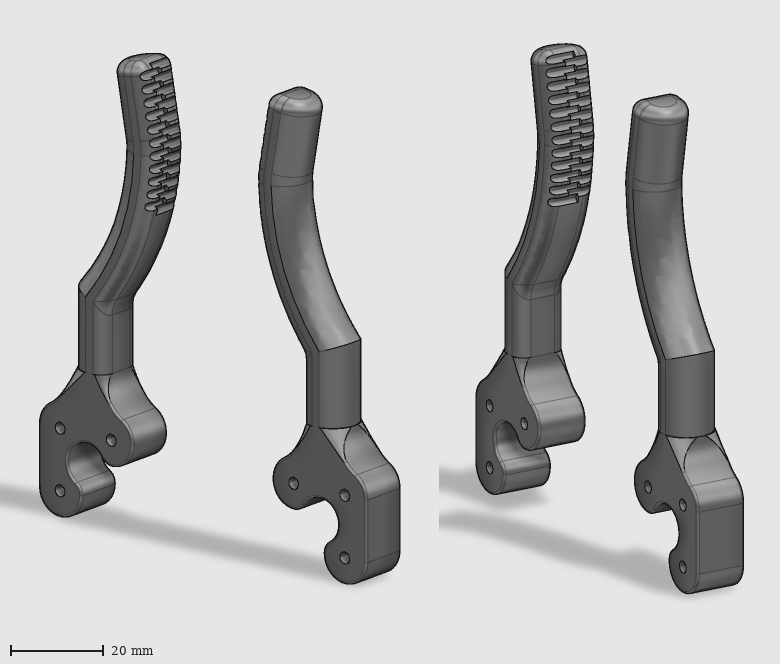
import cadquery as cq
import math

OVERALL_WIDTH = 90.7
OVERALL_HEIGHT = 106.4
THICKNESS = 12.0

HOLE_DIAMETER = 2.7
HOLE_PITCH = 14.2
LOBE_RADIUS = 6.0
CUTOUT_RADIUS = 5.1
CUSP_RADIUS = 3.2
PLATE_EDGE_RADIUS = 0.5
FLARE_RADIUS = 10.2
FADED_ROUND = 0.3
OVERCUT = 0.03
FADE_POWER = 3
BACK_LAND = 0.2
CLEARANCE = 1.1
FLARE_SECTIONS = 7

LEVER_WIDTH = 10.0
OUTER_ROUND = 5.0
INNER_ROUND = 3.0
TIP_ROUND = 2.9
BEND_HEIGHT = 49.5
BEND_ANGLE = 38.7
BEND_ROUND = 6.4
CURVE_RADIUS = 60.7
CREST_RADIUS = 19.2
CREST_LEAN = 1.2
TIP_LEAN = 10.0

GROOVE_RADIUS = 1.1
GROOVE_PITCH = 3.0
ROWS_BELOW_JOINT = 4
ROWS_ABOVE_JOINT = 6
FRONT_GROOVE_END = 0.9
REAR_GROOVE_END = -1.9

HALF_THICKNESS = THICKNESS / 2

hole_left = LOBE_RADIUS - OVERALL_WIDTH / 2
hole_right = hole_left + HOLE_PITCH
hole_low = LOBE_RADIUS
hole_high = hole_low + HOLE_PITCH
plate_middle = (hole_left + hole_right) / 2
cutout_height = (hole_low + hole_high) / 2

back_x = plate_middle - LEVER_WIDTH / 2
grip_x = plate_middle + LEVER_WIDTH / 2

flare_offset = back_x - FLARE_RADIUS - hole_left
neck_height = hole_high + math.sqrt((LOBE_RADIUS + FLARE_RADIUS) ** 2 - flare_offset ** 2)
flare_sweep = math.atan2(neck_height - hole_high, -flare_offset)

bend = math.radians(BEND_ANGLE)
lean = math.radians(TIP_LEAN)
crest_lean = math.radians(CREST_LEAN)
curve_length = CURVE_RADIUS * (bend - crest_lean)
crest_length = CREST_RADIUS * (lean + crest_lean)

curve_center_x = grip_x - CURVE_RADIUS * math.cos(bend)
curve_center_z = BEND_HEIGHT + CURVE_RADIUS * math.sin(bend)
crest_center_x = curve_center_x + (CURVE_RADIUS - CREST_RADIUS) * math.cos(crest_lean)
crest_center_z = curve_center_z - (CURVE_RADIUS - CREST_RADIUS) * math.sin(crest_lean)


def arc_point(center_x, center_z, radius, angle):
    """Point in the XZ plane at an angle from +X."""
    return center_x + radius * math.cos(angle), center_z + radius * math.sin(angle)


def grip_point(distance):
    """Point on the grip face at a distance along it from the joint of its curves, upward positive."""
    if distance <= 0:
        angle = distance / CURVE_RADIUS - crest_lean
        return arc_point(curve_center_x, curve_center_z, CURVE_RADIUS, angle)
    angle = min(distance / CREST_RADIUS - crest_lean, lean)
    x, z = arc_point(crest_center_x, crest_center_z, CREST_RADIUS, angle)
    straight = max(distance - crest_length, 0)
    return x - straight * math.sin(lean), z + straight * math.cos(lean)


def plate_outline():
    """Plate and flared neck, up to the neck height."""
    lobe_contact = math.pi - flare_sweep
    back_contact = arc_point(hole_left, hole_high, LOBE_RADIUS, lobe_contact)
    grip_contact = arc_point(hole_right, hole_high, LOBE_RADIUS, math.pi - lobe_contact)
    back_middle = arc_point(back_x - FLARE_RADIUS, neck_height, FLARE_RADIUS, -flare_sweep / 2)
    grip_middle = arc_point(grip_x + FLARE_RADIUS, neck_height, FLARE_RADIUS, math.pi + flare_sweep / 2)
    corner_middle = arc_point(hole_left, hole_high, LOBE_RADIUS, (lobe_contact + math.pi) / 2)
    diagonal = math.pi / 4
    low_lobe_end = arc_point(hole_left, hole_low, LOBE_RADIUS, diagonal)
    right_lobe_start = arc_point(hole_right, hole_high, LOBE_RADIUS, math.pi + diagonal)
    right_lobe_middle = arc_point(hole_right, hole_high, LOBE_RADIUS, -diagonal)
    return (
        cq.Workplane("XZ")
        .moveTo(back_x, neck_height)
        .threePointArc(back_middle, back_contact)
        .threePointArc(corner_middle, (hole_left - LOBE_RADIUS, hole_high))
        .lineTo(hole_left - LOBE_RADIUS, hole_low)
        .threePointArc((hole_left, hole_low - LOBE_RADIUS), low_lobe_end)
        .lineTo(*right_lobe_start)
        .threePointArc(right_lobe_middle, grip_contact)
        .threePointArc(grip_middle, (grip_x, neck_height))
        .close()
    )


def edge_relief(side_x, direction, full_width, full_depth, face_side):
    """Tool that rounds one flare edge, shrinking from the lever's rounding to the plate's."""
    center_x = side_x - direction * FLARE_RADIUS
    round_middle = 1 - math.sqrt(0.5)
    sections = []
    for step in range(FLARE_SECTIONS):
        t = step / (FLARE_SECTIONS - 1)
        angle = -flare_sweep * t
        fade = (1 - t) ** FADE_POWER
        width = FADED_ROUND + (full_width - FADED_ROUND) * fade
        depth = FADED_ROUND + (full_depth - FADED_ROUND) * fade
        inward = cq.Vector(direction * math.cos(angle), 0, math.sin(angle))
        outward_face = cq.Vector(0, face_side, 0)
        origin = cq.Vector(center_x, 0, neck_height) + inward * FLARE_RADIUS + outward_face * HALF_THICKNESS

        def place(inset, drop):
            return origin + inward * inset - outward_face * drop

        side_end = place(-OVERCUT, depth)
        face_end = place(width, -OVERCUT)
        corners = [
            face_end,
            place(width, -CLEARANCE),
            place(-CLEARANCE, -CLEARANCE),
            place(-CLEARANCE, depth),
            side_end,
        ]
        edges = [cq.Edge.makeLine(start, end) for start, end in zip(corners, corners[1:])]
        middle = place(width * round_middle, depth * round_middle)
        edges.append(cq.Edge.makeThreePointArc(side_end, middle, face_end))
        sections.append(cq.Wire.assembleEdges(edges))
    return cq.Workplane(cq.Solid.makeLoft(sections))


def make_plate():
    """Plate with its cutout, holes and rounded edges, and the flared neck above it."""
    plate = plate_outline().extrude(HALF_THICKNESS, both=True)
    cutout = cq.Workplane("XZ").center(plate_middle, cutout_height).circle(CUTOUT_RADIUS)
    plate = plate.cut(cutout.extrude(THICKNESS, both=True))

    cusps = cq.selectors.BoxSelector(
        (plate_middle - CUTOUT_RADIUS, -THICKNESS, cutout_height - CUTOUT_RADIUS),
        (plate_middle + CUTOUT_RADIUS, THICKNESS, cutout_height + CUTOUT_RADIUS),
    )
    plate = plate.edges("|Y").edges(cusps).fillet(CUSP_RADIUS)
    plate = plate.faces("<Y or >Y").edges("not(>Z)").fillet(PLATE_EDGE_RADIUS)

    back_depth = (THICKNESS - BACK_LAND) / 2
    for face_side in (-1, 1):
        plate = plate.cut(edge_relief(back_x, 1, OUTER_ROUND, back_depth, face_side))
        plate = plate.cut(edge_relief(grip_x, -1, INNER_ROUND, INNER_ROUND, face_side))

    holes = (
        cq.Workplane("XZ")
        .pushPoints([(hole_left, hole_low), (hole_left, hole_high), (hole_right, hole_high)])
        .circle(HOLE_DIAMETER / 2)
        .extrude(THICKNESS, both=True)
    )
    return plate.cut(holes)


def make_lever():
    """Bar from the neck to the rounded tip: rounded back, flat sides, rounded grip corners."""
    corner = INNER_ROUND * math.sqrt(0.5)
    section = (
        cq.Workplane("XY", origin=(0, 0, neck_height))
        .moveTo(back_x + OUTER_ROUND, HALF_THICKNESS)
        .lineTo(grip_x - INNER_ROUND, HALF_THICKNESS)
        .threePointArc(
            (grip_x - INNER_ROUND + corner, HALF_THICKNESS - INNER_ROUND + corner),
            (grip_x, HALF_THICKNESS - INNER_ROUND),
        )
        .lineTo(grip_x, INNER_ROUND - HALF_THICKNESS)
        .threePointArc(
            (grip_x - INNER_ROUND + corner, INNER_ROUND - HALF_THICKNESS - corner),
            (grip_x - INNER_ROUND, -HALF_THICKNESS),
        )
        .lineTo(back_x + OUTER_ROUND, -HALF_THICKNESS)
        .threePointArc((back_x, 0), (back_x + OUTER_ROUND, HALF_THICKNESS))
        .close()
    )
    tip_height = OVERALL_HEIGHT + TIP_ROUND * (math.cos(lean) + math.sin(lean) - 1)
    straight_start = grip_point(crest_length)
    straight = (tip_height - straight_start[1]) / math.cos(lean)
    path = (
        cq.Workplane("XZ")
        .moveTo(grip_x, neck_height)
        .lineTo(grip_x, BEND_HEIGHT)
        .threePointArc(grip_point(-curve_length / 2), grip_point(0))
        .threePointArc(grip_point(crest_length / 2), straight_start)
        .lineTo(*grip_point(crest_length + straight))
    )
    lever = section.sweep(path, transition="right")
    lever = lever.faces(">Z").edges().fillet(TIP_ROUND)
    kink = cq.selectors.NearestToPointSelector((grip_x, 0, BEND_HEIGHT))
    return lever.edges(kink).fillet(BEND_ROUND)


def groove_cutter(row, start, end):
    """Round cutter along Y for the groove at a row position on the grip face."""
    x, z = grip_point(row * GROOVE_PITCH)
    return cq.Solid.makeCylinder(GROOVE_RADIUS, end - start, cq.Vector(x, start, z), cq.Vector(0, 1, 0))


def groove_cutters():
    """Two columns of grooves; rear rows sit half a pitch from the front rows."""
    cutters = []
    for row in range(-ROWS_BELOW_JOINT, ROWS_ABOVE_JOINT + 1):
        cutters.append(groove_cutter(row, -THICKNESS, FRONT_GROOVE_END))
        cutters.append(groove_cutter(row - 0.5, REAR_GROOVE_END, THICKNESS))
    cutters.append(groove_cutter(ROWS_ABOVE_JOINT + 0.5, REAR_GROOVE_END, THICKNESS))
    return cutters


def make_left_lever():
    """Complete lever on the -X side as one solid."""
    blank = make_plate().union(make_lever()).val()
    return blank.cut(*groove_cutters()).Solids()[0]


left_lever = make_left_lever()
right_lever = left_lever.mirror("YZ")
result = cq.Compound.makeCompound([left_lever, right_lever])